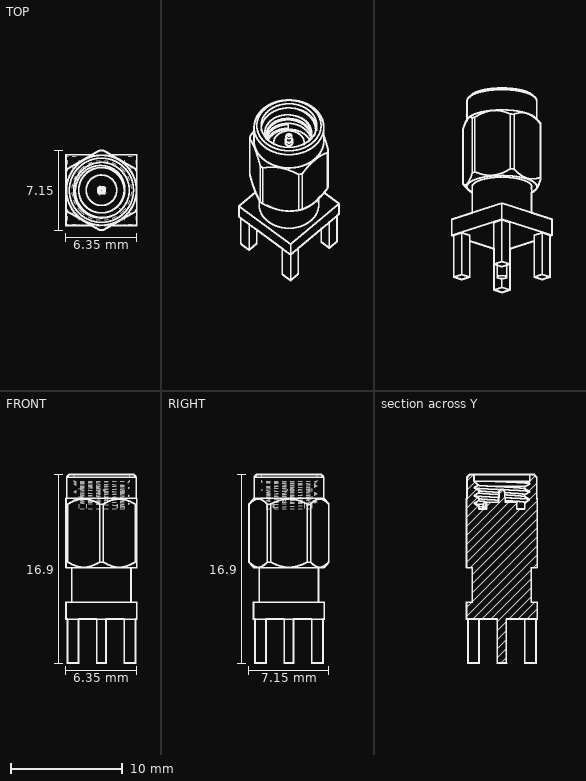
import cadquery as cq
import math

leg_length = 3.94
flange_thickness = 1.52
barrel_length = 3.07
nut_height = 6.20
collar_height = 2.16

flange_width = 6.35
leg_width = 1.02
leg_spacing = 5.08
solder_pin_diameter = 0.86

barrel_diameter = 5.33
nut_sides = 6
nut_across_flats = 6.35
nut_across_corners = 7.15
nut_chamfer_height = 0.51
nut_chamfer_width = 0.44
collar_diameter = 6.25
collar_chamfer = 0.25

socket_depth = 3.10
entry_diameter = 4.98
entry_depth = 0.60
thread_minor_diameter = 4.06
thread_major_diameter = 4.94
thread_pitch = 25.4 / 36
thread_flank_angle = 30
thread_overcut = 0.05
groove_reference_depth = 1.11
groove_reference_azimuth = 45
groove_turns_below_reference = 2.25
groove_turns_above_reference = 1.15

insulator_diameter = 2.73
insulator_depth = 2.48
contact_base_diameter = 0.66
contact_base_depth = 2.10
contact_diameter = 0.53
contact_tip_diameter = 0.26
contact_tip_depth = 1.35
contact_taper_height = 0.20

flange_z = leg_length
barrel_z = flange_z + flange_thickness
nut_z = barrel_z + barrel_length
collar_z = nut_z + nut_height
rim_z = collar_z + collar_height
socket_floor_z = rim_z - socket_depth


def cylinder(diameter, bottom_z, height):
    return cq.Workplane("XY").workplane(offset=bottom_z).circle(diameter / 2).extrude(height)


def make_base():
    """Square flange with a leg at each corner and the central solder pin."""
    flange = (
        cq.Workplane("XY")
        .workplane(offset=flange_z)
        .rect(flange_width, flange_width)
        .extrude(flange_thickness)
    )
    legs = (
        cq.Workplane("XY")
        .rarray(leg_spacing, leg_spacing, 2, 2)
        .rect(leg_width, leg_width)
        .extrude(leg_length)
    )
    return flange.union(legs).union(cylinder(solder_pin_diameter, 0, leg_length))


def make_nut():
    """Hexagon with corners along Y, trimmed by a cylinder with conical ends."""
    half_side_angle = 180 / nut_sides
    sharp_corner_diameter = nut_across_flats / math.cos(math.radians(half_side_angle))
    hexagon = (
        cq.Workplane("XY")
        .workplane(offset=nut_z)
        .transformed(rotate=(0, 0, half_side_angle))
        .polygon(nut_sides, sharp_corner_diameter)
        .extrude(nut_height)
    )
    envelope = (
        cylinder(nut_across_corners, nut_z, nut_height)
        .edges()
        .chamfer(nut_chamfer_height, nut_chamfer_width)
    )
    return hexagon.intersect(envelope)


def make_collar():
    collar = cylinder(collar_diameter, collar_z, collar_height)
    return collar.faces(">Z").edges().chamfer(collar_chamfer)


def make_socket():
    """Round cavity: straight entry, 45 degree lead-in, then the thread's minor bore."""
    entry_radius = entry_diameter / 2
    minor_radius = thread_minor_diameter / 2
    entry_end_z = rim_z - entry_depth
    lead_in_end_z = entry_end_z - (entry_radius - minor_radius)
    return (
        cq.Workplane("XZ")
        .moveTo(0, socket_floor_z)
        .lineTo(minor_radius, socket_floor_z)
        .lineTo(minor_radius, lead_in_end_z)
        .lineTo(entry_radius, entry_end_z)
        .lineTo(entry_radius, rim_z)
        .lineTo(0, rim_z)
        .close()
        .revolve(360, (0, 0, 0), (0, 1, 0))
    )


def make_thread_groove():
    """V groove swept along a right-handed helix, reaching slightly inside the minor bore."""
    root_radius = thread_major_diameter / 2
    mouth_radius = thread_minor_diameter / 2 - thread_overcut
    half_mouth = (root_radius - mouth_radius) * math.tan(math.radians(thread_flank_angle))
    groove_profile = (
        cq.Workplane("XZ")
        .moveTo(root_radius, 0)
        .lineTo(mouth_radius, half_mouth)
        .lineTo(mouth_radius, -half_mouth)
        .close()
    )
    groove_turns = groove_turns_below_reference + groove_turns_above_reference
    helix = cq.Wire.makeHelix(thread_pitch, groove_turns * thread_pitch, root_radius)
    groove = groove_profile.sweep(cq.Workplane(obj=helix), isFrenet=True)
    start_z = rim_z - groove_reference_depth - groove_turns_below_reference * thread_pitch
    start_azimuth = groove_reference_azimuth - 360 * groove_turns_below_reference
    return groove.rotate((0, 0, 0), (0, 0, 1), start_azimuth).translate((0, 0, start_z))


def make_insulator_and_contact():
    """Insulator disc on the socket floor, carrying the stepped contact with a blunt conical tip."""
    insulator_radius = insulator_diameter / 2
    base_radius = contact_base_diameter / 2
    contact_radius = contact_diameter / 2
    insulator_z = rim_z - insulator_depth
    base_z = rim_z - contact_base_depth
    tip_z = rim_z - contact_tip_depth
    return (
        cq.Workplane("XZ")
        .moveTo(0, socket_floor_z)
        .lineTo(insulator_radius, socket_floor_z)
        .lineTo(insulator_radius, insulator_z)
        .lineTo(base_radius, insulator_z)
        .lineTo(base_radius, base_z)
        .lineTo(contact_radius, base_z)
        .lineTo(contact_radius, tip_z - contact_taper_height)
        .lineTo(contact_tip_diameter / 2, tip_z)
        .lineTo(0, tip_z)
        .close()
        .revolve(360, (0, 0, 0), (0, 1, 0))
    )


body = make_base().union(cylinder(barrel_diameter, barrel_z, barrel_length))
body = body.union(make_nut()).union(make_collar())
body = body.cut(make_socket()).cut(make_thread_groove())
result = body.union(make_insulator_and_contact())